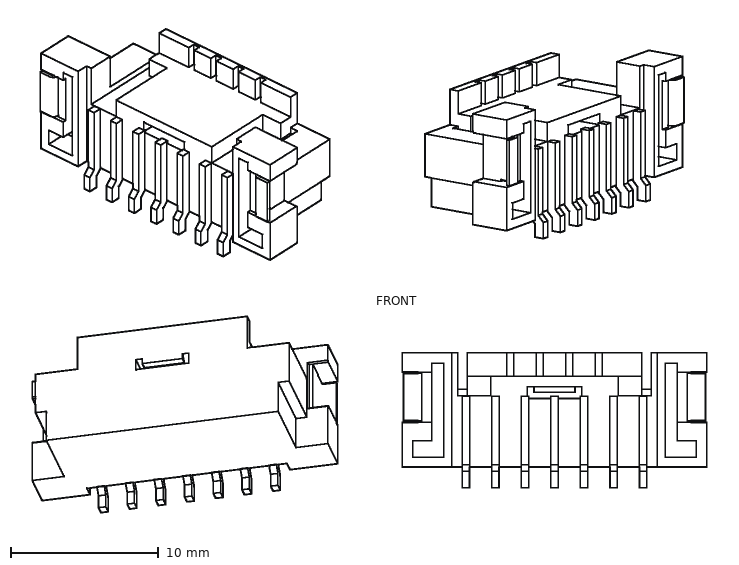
import cadquery as cq


total_length = 20.6
total_depth = 8.0
housing_height = 7.75
pin_drop = 1.4
half_length = total_length / 2

wing_half = 8.84
foot_half = 8.08
wing_bottom = 2.27
wing_top = 5.27
wing_depth = 5.0

body_half = 6.96
body_depth = 6.95
channel_half = 6.53
channel_floor = 4.82

deck_top = 6.14
deck_half = 4.3
deck_head_half = 5.91
deck_head_depth = 1.73
fence_thickness = 0.7
notch_size = 0.5
notch_count = 4

window_half = 1.83
window_bottom = 4.65
window_top = 5.44
lip_half = 1.4
lip_drop = 0.37
lip_top_depth = 0.2

pin_count = 7
pitch = 2.0
pin_width = 0.52
pin_thickness = 0.7
pin_front = 7.55
pin_top = 4.8
bend_front_top = 0.16
bend_back_top = -0.05

ear_depth = 7.8
opening_bottom = 3.03
opening_top = 6.43
opening_flare = 0.1

slot_inner = 7.5
slot_outer = 8.3
slot_toe = 9.6
slot_bottom = 0.65
slot_toe_top = 1.8
slot_top = 7.05
slot_depth = 1.75
core_setback = 0.27

clip_inner = 8.98
clip_thickness = 0.25
clip_bend_radius = 0.12
clip_end = 10.22
clip_narrow_depth = 6.55
clip_narrow_bottom = 3.15
clip_narrow_top = 6.35


def block(x_start, x_end, depth_start, depth_end, z_start, z_end):
    """Box between two limits along X, depth and Z."""
    size = (x_end - x_start, depth_end - depth_start, z_end - z_start)
    return cq.Workplane("XY").box(*size, centered=False).translate((x_start, -depth_end, z_start))


def centred_block(half_width, depth_start, depth_end, z_start, z_end):
    """Box symmetric about X = 0."""
    return block(-half_width, half_width, depth_start, depth_end, z_start, z_end)


def side_profile(points, x_centre, width):
    """Extrude a closed (depth, Z) outline along X."""
    outline = [(-depth, z) for depth, z in points]
    plane = cq.Workplane("YZ", origin=(x_centre - width / 2, 0, 0))
    return plane.polyline(outline).close().extrude(width)


def row_positions(count):
    """Centred X positions at the pin pitch."""
    return [(index - (count - 1) / 2) * pitch for index in range(count)]


def make_body():
    foot = centred_block(foot_half, 0, wing_depth, 0, wing_bottom)
    wings = centred_block(wing_half, 0, wing_depth, wing_bottom, wing_top)
    front = centred_block(body_half, 0, body_depth, 0, channel_floor)
    channel = centred_block(channel_half, fence_thickness, wing_depth, channel_floor, wing_top)
    return foot.union(wings).union(front).cut(channel)


def make_deck():
    tongue = centred_block(deck_half, 0, body_depth, channel_floor, deck_top)
    head = centred_block(deck_head_half, 0, deck_head_depth, channel_floor, deck_top)
    fence = centred_block(deck_head_half, 0, fence_thickness, deck_top, housing_height)
    for x in row_positions(notch_count):
        notch = block(
            x - notch_size / 2, x + notch_size / 2,
            fence_thickness - notch_size, fence_thickness,
            deck_top, housing_height,
        )
        fence = fence.cut(notch)
    return tongue.union(head).union(fence)


def make_window():
    """Opening through the full depth, less the lip left at its rear."""
    opening = centred_block(window_half, 0, body_depth, window_bottom, window_top)
    lip_bottom = window_top - lip_drop
    lip_outline = [
        (0, window_top),
        (0, lip_bottom),
        (lip_top_depth + lip_drop, lip_bottom),
        (lip_top_depth, window_top),
    ]
    return opening.cut(side_profile(lip_outline, 0, 2 * lip_half))


def make_pin(x):
    """Upright pin cranked forward at 45 degrees below the housing."""
    crank = total_depth - pin_front
    pin_back = pin_front - pin_thickness
    outline = [
        (pin_back, pin_top),
        (pin_front, pin_top),
        (pin_front, bend_front_top),
        (total_depth, bend_front_top - crank),
        (total_depth, -pin_drop),
        (total_depth - pin_thickness, -pin_drop),
        (total_depth - pin_thickness, bend_back_top - crank),
        (pin_back, bend_back_top),
    ]
    return side_profile(outline, x, pin_width)


def make_clip():
    """Flat plate in the side opening, bent outward into a front flange."""
    clip_outer = clip_inner + clip_thickness
    clip_mid = (clip_narrow_bottom + clip_narrow_top) / 2
    flange_back = total_depth - clip_thickness
    plate = block(
        clip_inner, clip_outer, wing_depth + opening_flare, clip_narrow_depth,
        opening_bottom, opening_top,
    )
    arm = block(
        clip_inner, clip_outer, clip_narrow_depth, total_depth,
        clip_narrow_bottom, clip_narrow_top,
    )
    flange = block(
        clip_inner, clip_end, flange_back, total_depth,
        clip_narrow_bottom, clip_narrow_top,
    )
    bent = arm.union(flange)
    inner_corner = cq.NearestToPointSelector((clip_outer, -flange_back, clip_mid))
    bent = bent.edges(inner_corner).fillet(clip_bend_radius)
    bent = bent.edges("|Z and <X and <Y").fillet(clip_bend_radius + clip_thickness)
    return plate.union(bent)


def make_opening():
    """Side opening that flares at 45 degrees toward the rear of the ear."""
    passage = block(clip_inner, half_length, wing_depth, ear_depth, opening_bottom, opening_top)
    flare = block(
        clip_inner - opening_flare, half_length + opening_flare,
        wing_depth - opening_flare, wing_depth + opening_flare,
        opening_bottom - opening_flare, opening_top + opening_flare,
    )
    return passage.union(flare.faces("<Y").chamfer(opening_flare))


def make_ear():
    """Right-hand ear with its slot, side opening and clip."""
    ear = block(channel_half, half_length, wing_depth, body_depth, 0, housing_height)
    ear = ear.union(block(body_half, half_length, body_depth, ear_depth, 0, housing_height))
    setback = block(
        slot_outer, clip_inner, ear_depth - core_setback, ear_depth,
        opening_bottom, opening_top,
    )
    slot_back = ear_depth - slot_depth
    slot_leg = block(slot_inner, slot_outer, slot_back, ear_depth, slot_bottom, slot_top)
    slot_foot = block(slot_inner, slot_toe, slot_back, ear_depth, slot_bottom, slot_toe_top)
    ear = ear.cut(make_opening()).cut(setback).cut(slot_leg).cut(slot_foot)
    return ear.union(make_clip())


ear = make_ear()
result = make_body().union(make_deck()).cut(make_window())
result = result.union(ear).union(ear.mirror("YZ"))
for pin_x in row_positions(pin_count):
    result = result.union(make_pin(pin_x))